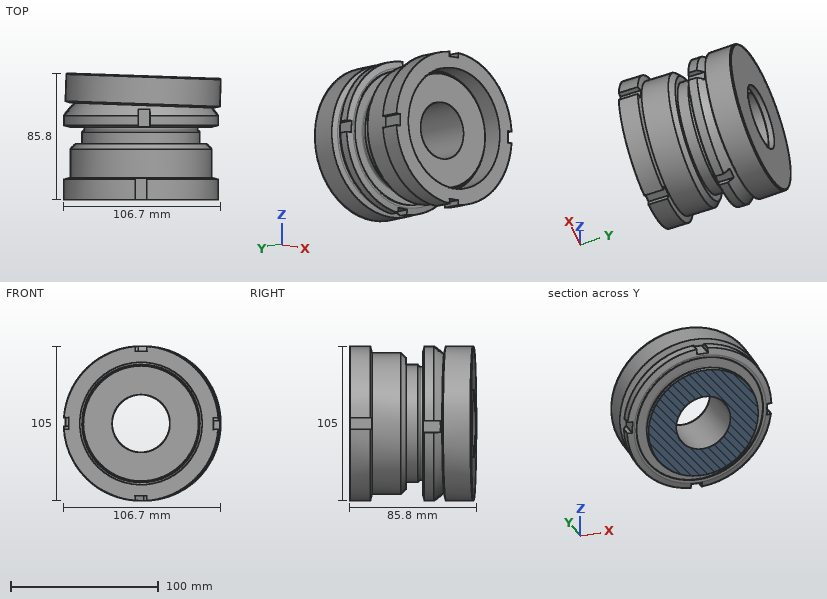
import cadquery as cq
import math


RIM_RADIUS = 52.5
THREAD_RADIUS = 40.0
BEVEL_ANGLE = math.radians(15)
FLANGE_BEVEL_END = 48.0
FLANGE_BEVEL_HEIGHT = (RIM_RADIUS - FLANGE_BEVEL_END) * math.tan(BEVEL_ANGLE)

NOTCH_COUNT = 4
NOTCH_WIDTH = 8.0
NOTCH_FLOOR_RADIUS = 49.0

FOOT_FLANGE_HEIGHT = 15.0
FOOT_BODY_RADIUS = FLANGE_BEVEL_END
FOOT_HEIGHT = 38.0
FOOT_CHAMFER = 3.6
COUNTERBORE_RADIUS = 41.5
COUNTERBORE_DEPTH = 16.0

STEM_START = 12.2
STEM_BORE_RADIUS = 19.5
STEM_END_CHAMFER = 1.0
THREAD_END = 47.3
THREAD_CHAMFER_ANGLE = math.radians(45)
NECK_RADIUS = 38.5
NECK_FILLET = 0.5
RECESS_RADIUS = 46.0
RECESS_DEPTH = 1.0
STEM_FLANGE_START = 49.3
STEM_FLANGE_EDGE = 56.8
STEM_TURN = 2.4

SPHERE_RADIUS = 64.0
SPHERE_CENTRE = STEM_FLANGE_EDGE - math.sqrt(SPHERE_RADIUS**2 - RIM_RADIUS**2)

WASHER_BOTTOM = 64.0
WASHER_TOP = 84.0
WASHER_BEVEL_END = 48.5
WASHER_BEVEL_HEIGHT = (RIM_RADIUS - WASHER_BEVEL_END) * math.tan(BEVEL_ANGLE)
WASHER_TOP_CHAMFER = 0.8
WASHER_HOLE_RADIUS = 23.0
WASHER_TILT = 2.0
WASHER_PIVOT = 34.0


def turned(profile):
    """Revolve a closed profile of (radius, height) about the Y axis."""
    return profile.close().revolve(360, (0, 0, 0), (0, 1, 0))


def notches(start, end):
    """Four notch cutters around the rim, from start to end along Y."""
    depth = RIM_RADIUS - NOTCH_FLOOR_RADIUS
    cutters = cq.Workplane("XY")
    for i in range(NOTCH_COUNT):
        cutter = (
            cq.Workplane("XY")
            .box(2 * depth, end - start, NOTCH_WIDTH, centered=(False, False, True))
            .translate((NOTCH_FLOOR_RADIUS, start, 0))
            .rotate((0, 0, 0), (0, 1, 0), i * 360 / NOTCH_COUNT)
        )
        cutters = cutters.add(cutter)
    return cutters.combine()


def make_foot():
    """Flanged foot with a counterbore that leads into the stem hole."""
    profile = (
        cq.Workplane("XY")
        .moveTo(COUNTERBORE_RADIUS, 0)
        .lineTo(RIM_RADIUS, 0)
        .lineTo(RIM_RADIUS, FOOT_FLANGE_HEIGHT - FLANGE_BEVEL_HEIGHT)
        .lineTo(FLANGE_BEVEL_END, FOOT_FLANGE_HEIGHT)
        .lineTo(FOOT_BODY_RADIUS, FOOT_HEIGHT - FOOT_CHAMFER)
        .lineTo(FOOT_BODY_RADIUS - FOOT_CHAMFER, FOOT_HEIGHT)
        .lineTo(THREAD_RADIUS, FOOT_HEIGHT)
        .lineTo(THREAD_RADIUS, COUNTERBORE_DEPTH)
        .lineTo(COUNTERBORE_RADIUS, COUNTERBORE_DEPTH)
    )
    return turned(profile).cut(notches(0, FOOT_FLANGE_HEIGHT))


def make_stem():
    """Hollow stem with an undercut neck and a notched, domed flange."""
    def dome_height(radius):
        return SPHERE_CENTRE + math.sqrt(SPHERE_RADIUS**2 - radius**2)

    chamfer_height = (THREAD_RADIUS - NECK_RADIUS) / math.tan(THREAD_CHAMFER_ANGLE)
    recess_floor = STEM_FLANGE_START + RECESS_DEPTH
    tangent_length = NECK_FILLET * math.tan(THREAD_CHAMFER_ANGLE / 2)
    tangent_radius = NECK_RADIUS + tangent_length * math.sin(THREAD_CHAMFER_ANGLE)
    tangent_height = THREAD_END - tangent_length * math.cos(THREAD_CHAMFER_ANGLE)
    middle_radius = (RIM_RADIUS + STEM_BORE_RADIUS) / 2
    profile = (
        cq.Workplane("XY")
        .moveTo(STEM_BORE_RADIUS, STEM_START)
        .lineTo(THREAD_RADIUS - STEM_END_CHAMFER, STEM_START)
        .lineTo(THREAD_RADIUS, STEM_START + STEM_END_CHAMFER)
        .lineTo(THREAD_RADIUS, THREAD_END - chamfer_height)
        .lineTo(tangent_radius, tangent_height)
        .radiusArc((NECK_RADIUS, THREAD_END + tangent_length), NECK_FILLET)
        .lineTo(NECK_RADIUS, recess_floor - NECK_FILLET)
        .radiusArc((NECK_RADIUS + NECK_FILLET, recess_floor), NECK_FILLET)
        .lineTo(RECESS_RADIUS, recess_floor)
        .lineTo(RECESS_RADIUS, STEM_FLANGE_START)
        .lineTo(FLANGE_BEVEL_END, STEM_FLANGE_START)
        .lineTo(RIM_RADIUS, STEM_FLANGE_START + FLANGE_BEVEL_HEIGHT)
        .lineTo(RIM_RADIUS, STEM_FLANGE_EDGE)
        .threePointArc(
            (middle_radius, dome_height(middle_radius)),
            (STEM_BORE_RADIUS, dome_height(STEM_BORE_RADIUS)),
        )
    )
    cutters = notches(STEM_FLANGE_START, dome_height(NOTCH_FLOOR_RADIUS))
    return turned(profile).cut(cutters).rotate((0, 0, 0), (0, 1, 0), STEM_TURN)


def make_washer():
    """Tilted washer with a spherical seat that rests on the dome."""
    profile = (
        cq.Workplane("XY")
        .moveTo(WASHER_HOLE_RADIUS, WASHER_BOTTOM)
        .lineTo(WASHER_BEVEL_END, WASHER_BOTTOM)
        .lineTo(RIM_RADIUS, WASHER_BOTTOM + WASHER_BEVEL_HEIGHT)
        .lineTo(RIM_RADIUS, WASHER_TOP - WASHER_TOP_CHAMFER)
        .lineTo(RIM_RADIUS - WASHER_TOP_CHAMFER, WASHER_TOP)
        .lineTo(WASHER_HOLE_RADIUS, WASHER_TOP)
    )
    pivot = (0, WASHER_PIVOT, 0)
    pivot_end = (0, WASHER_PIVOT, 1)
    tilted = turned(profile).rotate(pivot, pivot_end, -WASHER_TILT)
    seat = cq.Workplane("XY").sphere(SPHERE_RADIUS).translate((0, SPHERE_CENTRE, 0))
    return tilted.cut(seat)


foot = make_foot().solids()
stem = make_stem().solids()
washer = make_washer().solids()

result = cq.Compound.makeCompound([foot.val(), stem.val(), washer.val()])